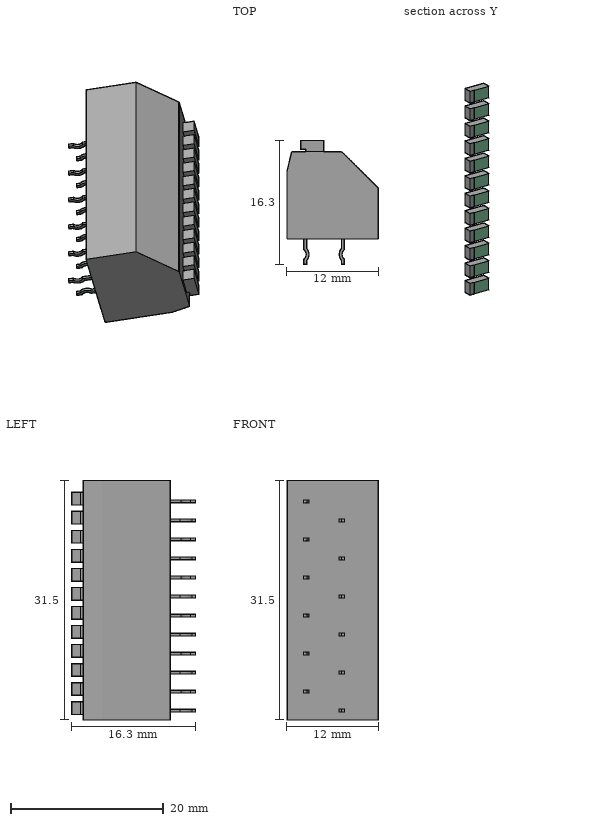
import cadquery as cq
import math

body_width = 12.0
body_depth = 11.5
body_length = 31.5
left_slope_width = 0.6
left_slope_depth = 2.5
right_slope_width = 4.8
right_slope_depth = 4.75
corner_chamfer = 0.08

pole_count = 12
pole_pitch = 2.5

lever_height = 1.5
lever_left = -4.2
lever_right = -1.15
lever_width = 1.7
lip_overhang = 0.65
lip_gap = 0.32
first_lever_z = 1.6

pin_length = 3.3
pin_thickness = 0.4
left_pin_x = -3.6
right_pin_x = 1.35
first_pin_z = 1.25
kink_offset = 0.3
kink_middle = 2.0
kink_inner_radius = 0.8
kink_outer_radius = kink_inner_radius + pin_thickness

half_width = body_width / 2
front_y = -body_depth / 2
back_y = body_depth / 2


def make_housing():
    outline = [
        (-half_width, front_y),
        (half_width, front_y),
        (half_width, back_y - right_slope_depth),
        (half_width - right_slope_width, back_y),
        (-half_width + left_slope_width, back_y),
        (-half_width, back_y - left_slope_depth),
    ]
    prism = cq.Workplane("XY").polyline(outline).close().extrude(body_length)
    return prism.faces("<Y or >Y").edges("|Z").chamfer(corner_chamfer)


def make_lever(z_center):
    outline = [
        (lever_left + lip_overhang, back_y),
        (lever_right, back_y),
        (lever_right, back_y + lever_height),
        (lever_left, back_y + lever_height),
        (lever_left, back_y + lip_gap),
        (lever_left + lip_overhang, back_y + lip_gap),
    ]
    lever = cq.Workplane("XY").polyline(outline).close().extrude(lever_width / 2, both=True)
    return lever.translate((0, 0, z_center))


def half_chord(radius, height):
    """Half the chord of an arc that rises by the given height."""
    return math.sqrt(2 * radius * height - height**2)


def make_pin(x_center, z_center, kink_direction):
    """Flat pin pointing to -Y; its kink, two concentric arcs, bulges along X in the given direction."""
    half = pin_thickness / 2
    inner_reach = half_chord(kink_inner_radius, kink_offset)
    outer_reach = half_chord(kink_outer_radius, kink_offset)
    path = (
        cq.Workplane("XY")
        .moveTo(-half, 0)
        .lineTo(-half, -kink_middle + inner_reach)
        .threePointArc((-half + kink_offset, -kink_middle), (-half, -kink_middle - inner_reach))
        .lineTo(-half, -pin_length)
        .lineTo(half, -pin_length)
        .lineTo(half, -kink_middle - outer_reach)
        .threePointArc((half + kink_offset, -kink_middle), (half, -kink_middle + outer_reach))
        .lineTo(half, 0)
        .close()
    )
    pin = path.extrude(half, both=True)
    if kink_direction < 0:
        pin = pin.mirror("YZ")
    return pin.translate((x_center, front_y, z_center))


result = make_housing()
for pole in range(pole_count):
    pole_z = pole * pole_pitch
    result = result.union(make_lever(first_lever_z + pole_z))
    if pole % 2 == 0:
        pin = make_pin(right_pin_x, first_pin_z + pole_z, -1)
    else:
        pin = make_pin(left_pin_x, first_pin_z + pole_z, 1)
    result = result.union(pin)